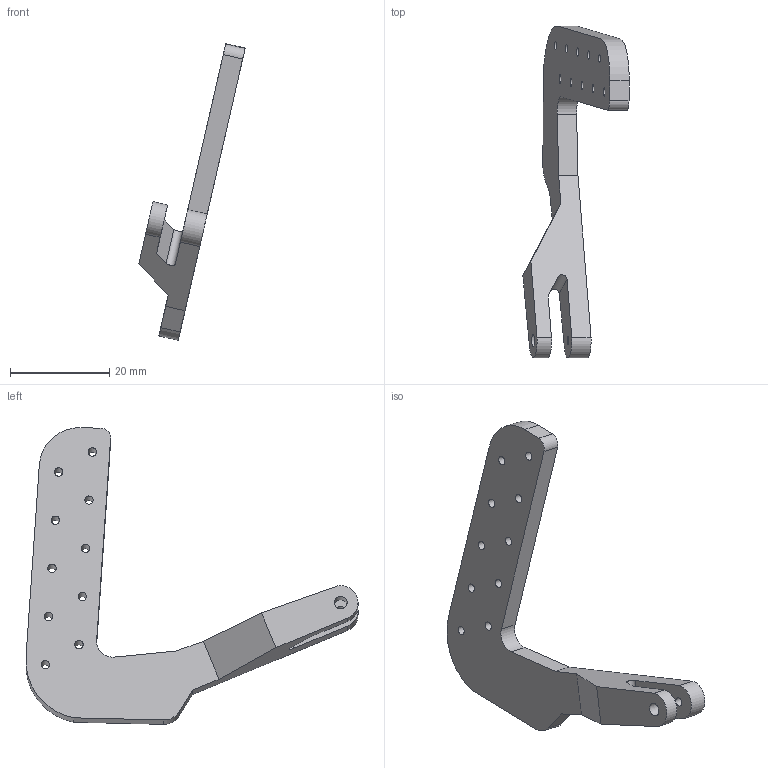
import cadquery as cq
import math


lean_angle = 12.9
plate_thickness = 4.0
fork_gap = 4.2
ear_thickness = 3.0
ear_height = fork_gap + ear_thickness

tip_radius = 3.5
tip_top_angle = 100.0
arm_top_angle = 19.9
arm_bottom_angle = 23.0
arm_top_length = 34.8
arm_bottom_length = 34.0
arm_axis_angle = 22.0
elbow_angle = 5.75
elbow_length = 16.3
chin_angle = 58.8
chin_length = 7.25

grip_angle = 3.87
grip_width = 14.0
grip_inner_length = 47.85
grip_outer_length = 47.8
grip_end_angle = 1.7
heel_end_angle = 258.2

crotch_radius = 3.3
grip_inner_radius = 2.0
grip_outer_radius = 8.2
heel_radius = 12.1
chin_radius = 3.6

ramp_angle = 30.0
ramp_start = 28.1
slot_depth = 12.75
slot_end_radius = 1.0

pin_hole_diameter = 2.6
small_hole_diameter = 1.71
holes_per_row = 5
hole_pitch = 10.0
inner_row_margin = 3.5
outer_row_margin = 4.0
inner_row_start = 2.75
row_stagger = 4.6

plate_plane = cq.Plane(
    origin=(0, 0, 0),
    xDir=(0, -1, 0),
    normal=(-math.cos(math.radians(lean_angle)), 0, math.sin(math.radians(lean_angle))),
)


def step(point, angle, distance):
    """The point reached by moving a distance in the direction of an angle."""
    turn = math.radians(angle)
    return (point[0] + distance * math.cos(turn), point[1] + distance * math.sin(turn))


def rounded_corner(before, corner, after, radius):
    """Start, middle and end of the arc that rounds a corner."""
    to_before = math.atan2(before[1] - corner[1], before[0] - corner[0])
    to_after = math.atan2(after[1] - corner[1], after[0] - corner[0])
    opening = (to_after - to_before + math.pi) % (2 * math.pi) - math.pi
    half_opening = abs(opening) / 2
    setback = radius / math.tan(half_opening)
    middle_distance = radius / math.sin(half_opening) - radius
    return (
        step(corner, math.degrees(to_before), setback),
        step(corner, math.degrees(to_before + opening / 2), middle_distance),
        step(corner, math.degrees(to_after), setback),
    )


pin_axis = (0, 0)
tip_top = step(pin_axis, tip_top_angle, tip_radius)
tip_bottom = step(pin_axis, arm_bottom_angle - 90, tip_radius)
tip_end = step(pin_axis, (arm_top_angle + arm_bottom_angle) / 2, tip_radius)
elbow = step(tip_top, arm_top_angle, -arm_top_length)
crotch = step(elbow, elbow_angle, -elbow_length)
grip_up_angle = 90 - grip_angle
grip_inner_end = step(crotch, grip_up_angle, grip_inner_length)
grip_end_length = grip_width / math.cos(math.radians(grip_angle - grip_end_angle))
grip_outer_end = step(grip_inner_end, 180 - grip_end_angle, grip_end_length)
heel_start = step(grip_outer_end, grip_up_angle, -grip_outer_length)
heel_start_angle = 180 - grip_angle
heel_center = step(heel_start, heel_start_angle, -heel_radius)
heel_middle = step(heel_center, (heel_start_angle + heel_end_angle) / 2, heel_radius)
heel_end = step(heel_center, heel_end_angle, heel_radius)
throat = step(tip_bottom, arm_bottom_angle, -arm_bottom_length)
chin = step(throat, chin_angle, -chin_length)


def round_to(outline, before, corner, after, radius):
    """Carry the outline up to a corner and around it."""
    arc_start, arc_middle, arc_end = rounded_corner(before, corner, after, radius)
    return outline.lineTo(*arc_start).threePointArc(arc_middle, arc_end)


def lever_prism(base_height, height):
    """The lever outline, extruded from a base height."""
    outline = cq.Workplane(plate_plane).workplane(offset=base_height).moveTo(*tip_top).lineTo(*elbow)
    outline = round_to(outline, elbow, crotch, grip_inner_end, crotch_radius)
    outline = round_to(outline, crotch, grip_inner_end, grip_outer_end, grip_inner_radius)
    outline = round_to(outline, grip_inner_end, grip_outer_end, heel_start, grip_outer_radius)
    outline = outline.lineTo(*heel_start).threePointArc(heel_middle, heel_end)
    outline = round_to(outline, heel_end, chin, throat, chin_radius)
    outline = outline.lineTo(*throat).lineTo(*tip_bottom).threePointArc(tip_end, tip_top)
    return outline.close().extrude(height)


def ear():
    """The raised outer fork ear, joined to the plate by a ramp, with the slot open at the tip."""
    along_arm = plate_plane.rotated((0, 0, arm_axis_angle))
    side_plane = cq.Plane(origin=(0, 0, 0), xDir=along_arm.xDir, normal=-along_arm.yDir)
    run_per_height = 1 / math.tan(math.radians(ramp_angle))

    reach = 2 * tip_radius
    half_width = 4 * tip_radius

    wedge_setback = slot_end_radius / math.tan(math.radians(ramp_angle / 2))
    wedge_tip = (-slot_depth + slot_end_radius - wedge_setback, 0)
    slot_corner = (wedge_tip[0] + fork_gap * run_per_height, fork_gap)
    slot_mouth = (reach, 0)
    floor_end, slot_bottom, wall_start = rounded_corner(slot_mouth, wedge_tip, slot_corner, slot_end_radius)

    profile = (
        cq.Workplane(side_plane)
        .moveTo(-ramp_start, 0)
        .lineTo(*floor_end)
        .threePointArc(slot_bottom, wall_start)
        .lineTo(*slot_corner)
        .lineTo(reach, fork_gap)
        .lineTo(reach, ear_height)
        .lineTo(-ramp_start + ear_height * run_per_height, ear_height)
        .close()
        .extrude(half_width, both=True)
    )
    return lever_prism(0, ear_height).intersect(profile)


def hole(center, diameter, base_height, depth):
    """A round cutter square to the plate."""
    base = cq.Workplane(plate_plane).workplane(offset=base_height)
    return base.center(*center).circle(diameter / 2).extrude(depth)


def grip_row(margin, start):
    """Centres of one row of grip holes, a margin away from the inner grip edge."""
    first = step(crotch, grip_up_angle + 90, margin)
    return [step(first, grip_up_angle, start + index * hole_pitch) for index in range(holes_per_row)]


plate = lever_prism(-plate_thickness, plate_thickness)
result = plate.union(ear())

small_hole_centers = [pin_axis]
small_hole_centers += grip_row(inner_row_margin, inner_row_start)
small_hole_centers += grip_row(grip_width - outer_row_margin, inner_row_start - row_stagger)
for center in small_hole_centers:
    result = result.cut(hole(center, small_hole_diameter, -plate_thickness, plate_thickness))

result = result.cut(hole(pin_axis, pin_hole_diameter, fork_gap, ear_thickness))